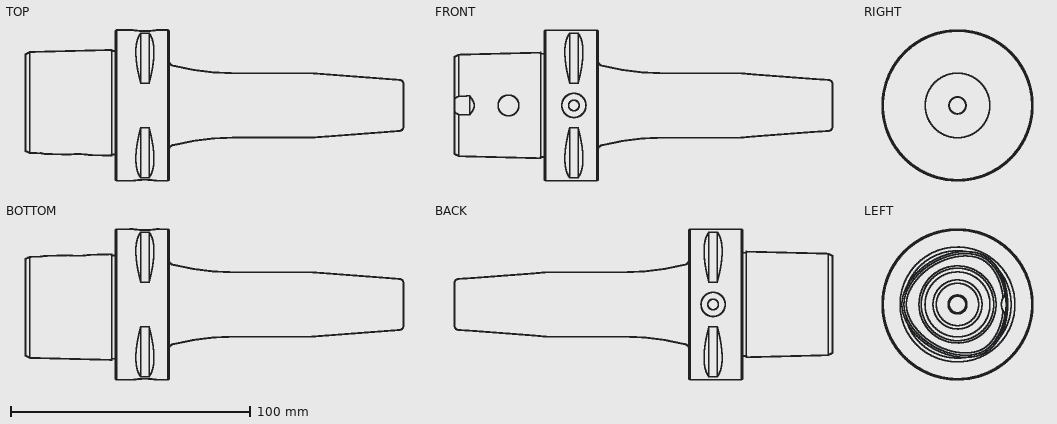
import cadquery as cq
import math

TOTAL_LENGTH = 158.0

SHANK_LENGTH = 36.0
RADIUS_PER_LENGTH = 1 / 40
SHANK_BASE_RADIUS = 22.1
SHANK_TIP_RADIUS = SHANK_BASE_RADIUS - SHANK_LENGTH * RADIUS_PER_LENGTH
LOBE = 1.1
LOBE_COUNT = 3
LOBE_HALF_SPAN = math.radians(25)
CURVE_INTERVALS = 20
TIP_CHAMFER_LENGTH = 1.9
TIP_CHAMFER_DROP = 1.0
NECK_INSET = 0.5

FLANGE_START = 37.6
FLANGE_END = 60.0
FLANGE_DIAMETER = 63.0
FLANGE_RADIUS = FLANGE_DIAMETER / 2
FLANGE_CHAMFER = 0.5
GROOVE_INNER_RADIUS = 22.5
GROOVE_OUTER_RADIUS = 24.0
GROOVE_DEPTH = GROOVE_OUTER_RADIUS - GROOVE_INNER_RADIUS

ROOT_RISE = 1.7
ROOT_ARC_RADIUS = 2.0
NOSE_OVERLAP = 1.6
FLARE_START = 62.1
FLARE_RADIUS = 16.6
NOSE_START = 86.9
NOSE_DIAMETER = 27.0
NOSE_RADIUS = NOSE_DIAMETER / 2
TAPER_START = 119.6
END_RADIUS = 10.6
END_FILLET = 1.9

DRILL_SLOPE = math.tan(math.radians(31))

MOUTH_RADIUS = 16.1
MOUTH_DEPTH = 1.3
ENTRY_RADIUS = 15.2
ENTRY_END = 12.3
CLAMP_GROOVE_RADIUS = 16.3
CLAMP_GROOVE_START = 7.6
CLAMP_GROOVE_END = 10.1
MAIN_RADIUS = 13.6
MAIN_START = 13.7
MAIN_END = 42.7
INNER_MOUTH_RADIUS = 10.3
INNER_RADIUS = 8.8
INNER_END = 52.1
CONE_END_RADIUS = 4.0
COOLANT_STEP = 0.8
COOLANT_RADIUS = 3.5

RIM_CENTER_X = 50.0

GRIP_FIRST_ANGLE = 45
GRIP_ACROSS_FLOORS = 55.8
GRIP_FLOOR = GRIP_ACROSS_FLOORS / 2
GRIP_FLOOR_WIDTH = 3.5
GRIP_RIM_WIDTH = 7.6
GRIP_COUNT = 4

CHIP_RADIUS = 5.0
CHIP_DEPTH = 4.5
PILOT_RADIUS = 2.2
PILOT_DEPTH = 2.4

SIDE_HOLE_X = 22.6
SIDE_HOLE_DIAMETER = 8.7
SIDE_HOLE_RADIUS = SIDE_HOLE_DIAMETER / 2
SIDE_HOLE_FLOOR = 16.6
NOTCH_RADIUS = 5.5
NOTCH_LENGTH = 6.3
NOTCH_AXIS = 23.9


def lobed_wire(mean_radius, x):
    """Closed lobed outline in the plane at x, made of one curve per lobe and per flank."""

    def point(angle):
        reach = mean_radius + LOBE * math.cos(LOBE_COUNT * angle)
        slope = -LOBE_COUNT * LOBE * math.sin(LOBE_COUNT * angle)
        return (
            reach * math.cos(angle) - slope * math.sin(angle),
            reach * math.sin(angle) + slope * math.cos(angle),
        )

    outline = cq.Workplane("YZ", origin=(x, 0, 0))
    pitch = 2 * math.pi / LOBE_COUNT
    for lobe in range(LOBE_COUNT):
        lobe_start = lobe * pitch - LOBE_HALF_SPAN
        lobe_end = lobe * pitch + LOBE_HALF_SPAN
        for start, stop in [(lobe_start, lobe_end), (lobe_end, lobe_start + pitch)]:
            outline = outline.parametricCurve(
                point, N=CURVE_INTERVALS, start=start, stop=stop, makeWire=False
            )
    return outline.wire().val()


def lobed_solid(radius_a, x_a, radius_b, x_b):
    """Straight-sided solid between two lobed outlines."""
    wires = [lobed_wire(radius_a, x_a), lobed_wire(radius_b, x_b)]
    return cq.Workplane(cq.Solid.makeLoft(wires, True))


def revolve_about_x(profile):
    """Close an XY profile and turn it into a solid around the tool axis."""
    return profile.close().revolve(360, (0, 0, 0), (1, 0, 0))


def drill_along_y(x, radius, floor, start):
    """Hole on the -Y side from y = -start to y = -floor, with a conical bottom."""
    return (
        cq.Workplane("YZ", origin=(x, 0, 0))
        .moveTo(-start, 0)
        .lineTo(-start, radius)
        .lineTo(-floor, radius)
        .lineTo(-floor + radius * DRILL_SLOPE, 0)
        .close()
        .revolve(360, (0, 0, 0), (1, 0, 0))
    )


def make_shank():
    chamfer_end_radius = SHANK_TIP_RADIUS + TIP_CHAMFER_LENGTH * RADIUS_PER_LENGTH
    tip = lobed_solid(SHANK_TIP_RADIUS - TIP_CHAMFER_DROP, 0, chamfer_end_radius, TIP_CHAMFER_LENGTH)
    taper = lobed_solid(chamfer_end_radius, TIP_CHAMFER_LENGTH, SHANK_BASE_RADIUS, SHANK_LENGTH)
    neck_radius = SHANK_BASE_RADIUS - NECK_INSET
    neck = lobed_solid(neck_radius, SHANK_LENGTH, neck_radius, FLANGE_START + GROOVE_DEPTH)
    return tip.union(taper).union(neck)


def make_flange():
    flange = (
        cq.Workplane("YZ", origin=(FLANGE_START, 0, 0))
        .circle(FLANGE_RADIUS)
        .extrude(FLANGE_END - FLANGE_START)
        .edges()
        .chamfer(FLANGE_CHAMFER)
    )
    groove = revolve_about_x(
        cq.Workplane("XY")
        .moveTo(FLANGE_START, GROOVE_INNER_RADIUS)
        .lineTo(FLANGE_START, GROOVE_OUTER_RADIUS)
        .lineTo(FLANGE_START + GROOVE_DEPTH, GROOVE_OUTER_RADIUS)
        .radiusArc((FLANGE_START, GROOVE_INNER_RADIUS), GROOVE_DEPTH)
    )
    return flange.cut(groove)


def make_nose():
    flare_length = NOSE_START - FLARE_START
    flare_rise = FLARE_RADIUS - NOSE_RADIUS
    flare_arc = (flare_length**2 + flare_rise**2) / (2 * flare_rise)
    half_turn = math.asin(flare_length / flare_arc) / 2
    flare_mid = (
        NOSE_START - flare_arc * math.sin(half_turn),
        NOSE_RADIUS + flare_arc * (1 - math.cos(half_turn)),
    )
    nose = revolve_about_x(
        cq.Workplane("XY")
        .moveTo(FLANGE_END - NOSE_OVERLAP, 0)
        .lineTo(FLANGE_END - NOSE_OVERLAP, FLARE_RADIUS + ROOT_RISE)
        .lineTo(FLANGE_END, FLARE_RADIUS + ROOT_RISE)
        .radiusArc((FLARE_START, FLARE_RADIUS), -ROOT_ARC_RADIUS)
        .threePointArc(flare_mid, (NOSE_START, NOSE_RADIUS))
        .lineTo(TAPER_START, NOSE_RADIUS)
        .lineTo(TOTAL_LENGTH, END_RADIUS)
        .lineTo(TOTAL_LENGTH, 0)
    )
    return nose.faces(">X").edges().fillet(END_FILLET)


def make_bore():
    inner_mouth_end = MAIN_END + INNER_MOUTH_RADIUS - INNER_RADIUS
    cone_end = INNER_END + (INNER_RADIUS - CONE_END_RADIUS) * DRILL_SLOPE
    coolant_start = cone_end + COOLANT_STEP
    return revolve_about_x(
        cq.Workplane("XY")
        .moveTo(0, 0)
        .lineTo(0, MOUTH_RADIUS)
        .lineTo(MOUTH_DEPTH, ENTRY_RADIUS)
        .lineTo(CLAMP_GROOVE_START, ENTRY_RADIUS)
        .lineTo(CLAMP_GROOVE_START, CLAMP_GROOVE_RADIUS)
        .lineTo(CLAMP_GROOVE_END, CLAMP_GROOVE_RADIUS)
        .lineTo(CLAMP_GROOVE_END, ENTRY_RADIUS)
        .lineTo(ENTRY_END, ENTRY_RADIUS)
        .lineTo(MAIN_START, MAIN_RADIUS)
        .lineTo(MAIN_END, MAIN_RADIUS)
        .lineTo(MAIN_END, INNER_MOUTH_RADIUS)
        .lineTo(inner_mouth_end, INNER_RADIUS)
        .lineTo(INNER_END, INNER_RADIUS)
        .lineTo(cone_end, CONE_END_RADIUS)
        .lineTo(coolant_start, CONE_END_RADIUS)
        .lineTo(coolant_start, COOLANT_RADIUS)
        .lineTo(TOTAL_LENGTH, COOLANT_RADIUS)
        .lineTo(TOTAL_LENGTH, 0)
    )


def make_grip_groove(angle):
    """Straight trapezoidal groove across the rim of the flange."""
    return (
        cq.Workplane("XY")
        .moveTo(RIM_CENTER_X - GRIP_FLOOR_WIDTH / 2, GRIP_FLOOR)
        .lineTo(RIM_CENTER_X + GRIP_FLOOR_WIDTH / 2, GRIP_FLOOR)
        .lineTo(RIM_CENTER_X + GRIP_RIM_WIDTH / 2, FLANGE_RADIUS)
        .lineTo(RIM_CENTER_X - GRIP_RIM_WIDTH / 2, FLANGE_RADIUS)
        .close()
        .extrude(FLANGE_RADIUS, both=True)
        .rotate((0, 0, 0), (1, 0, 0), angle)
    )


def make_chip_hole():
    """Flat-bottomed pocket on -Y with a small drilled pilot in its floor."""
    floor = FLANGE_RADIUS - CHIP_DEPTH
    pocket = (
        cq.Workplane("XZ", origin=(RIM_CENTER_X, -floor, 0))
        .circle(CHIP_RADIUS)
        .extrude(CHIP_DEPTH)
    )
    return pocket.union(drill_along_y(RIM_CENTER_X, PILOT_RADIUS, floor - PILOT_DEPTH, floor))


def make_notch():
    """Rounded end notch along X with a 45 degree conical end, its axis outside the shank."""
    return (
        cq.Workplane("XY")
        .moveTo(0, -NOTCH_AXIS)
        .lineTo(0, -NOTCH_AXIS + NOTCH_RADIUS)
        .lineTo(NOTCH_LENGTH, -NOTCH_AXIS + NOTCH_RADIUS)
        .lineTo(NOTCH_LENGTH + NOTCH_RADIUS, -NOTCH_AXIS)
        .close()
        .revolve(360, (0, -NOTCH_AXIS, 0), (1, -NOTCH_AXIS, 0))
    )


body = make_shank().union(make_flange()).union(make_nose())
body = body.cut(make_bore())
for index in range(GRIP_COUNT):
    body = body.cut(make_grip_groove(GRIP_FIRST_ANGLE + index * 360 / GRIP_COUNT))
chip_hole = make_chip_hole()
body = body.cut(chip_hole).cut(chip_hole.mirror("XZ"))
body = body.cut(drill_along_y(SIDE_HOLE_X, SIDE_HOLE_RADIUS, SIDE_HOLE_FLOOR, SHANK_BASE_RADIUS))
result = body.cut(make_notch())